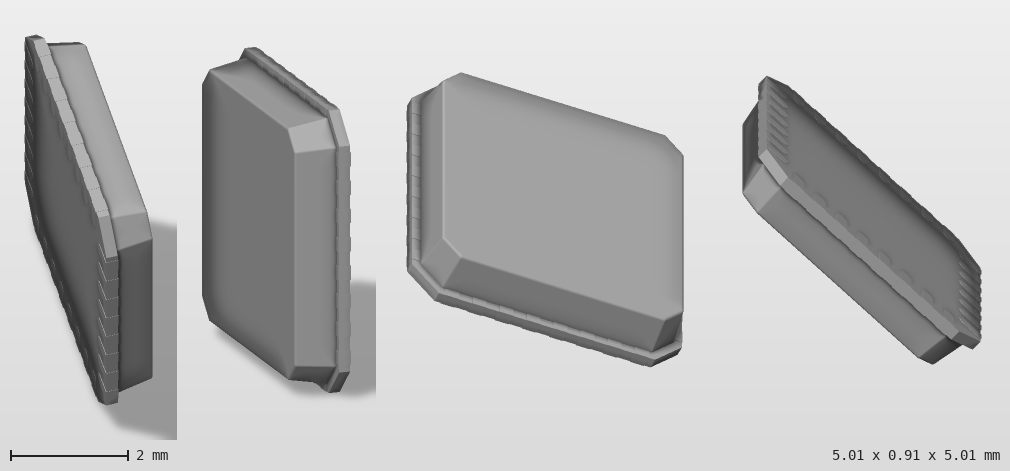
import cadquery as cq

overall_width = 5.01
overall_thickness = 0.91

side_count = 4
leads_per_side = 8
lead_pitch = 0.5
lead_width = 0.25
lead_length = 0.505
lead_side_proud = 0.005
lead_face_proud = 0.01

base_width = overall_width - 2 * lead_side_proud
base_corner = 0.5
base_thickness = 0.2

cap_inset = 0.15
cap_width = base_width - 2 * cap_inset
cap_corner = 0.41
cap_height = overall_thickness - lead_face_proud - base_thickness
cap_draft = 10.0
cap_edge_radius = 0.05


def plane_facing_back(y):
    """XZ plane at the given y whose extrusions run towards +Y."""
    return cq.Workplane(cq.Plane(origin=(0, y, 0), xDir=(1, 0, 0), normal=(0, 1, 0)))


def cut_corner_square(y, width, corner):
    """Square outline with its four corners cut at 45 degrees."""
    half = width / 2
    flat = half - corner
    outline = [
        (half, flat), (flat, half), (-flat, half), (-half, flat),
        (-half, -flat), (-flat, -half), (flat, -half), (half, -flat),
    ]
    return plane_facing_back(y).polyline(outline).close()


def make_base():
    return cut_corner_square(0, base_width, base_corner).extrude(base_thickness)


def make_cap():
    outline = cut_corner_square(base_thickness, cap_width, cap_corner)
    cap = outline.extrude(cap_height, taper=cap_draft)
    return cap.edges("not <Y").fillet(cap_edge_radius)


def make_lead(offset):
    """One lead on the +X side, with its rounded end pointing inwards."""
    outer = overall_width / 2
    arc_start = outer - lead_length + lead_width / 2
    low = offset - lead_width / 2
    high = offset + lead_width / 2
    return (
        plane_facing_back(-lead_face_proud)
        .moveTo(outer, low)
        .lineTo(arc_start, low)
        .threePointArc((outer - lead_length, offset), (arc_start, high))
        .lineTo(outer, high)
        .close()
        .extrude(base_thickness + 2 * lead_face_proud)
    )


result = make_base().union(make_cap())
for side in range(side_count):
    for index in range(leads_per_side):
        lead_offset = (index - (leads_per_side - 1) / 2) * lead_pitch
        lead = make_lead(lead_offset).rotate((0, 0, 0), (0, 1, 0), side * 360 / side_count)
        result = result.union(lead)